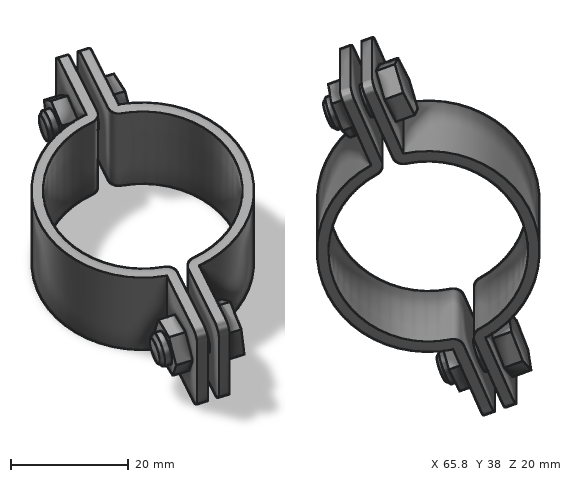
import cadquery as cq

length = 65.85
width = 20.0
ring_radius = 19.0
thickness = 2.0
gap = 2.0
bend_radius = 2.0
corner_radius = 2.0

bolt_offset = 25.9
shank_diameter = 6.0
tip_chamfer = 0.7
tip_projection = 5.0
head_height = 3.4
head_diameter = 10.85
head_angle = 15.0
nut_height = 3.0
nut_diameter = 10.1
nut_angle = 48.3

bore_radius = ring_radius - thickness
flange_inner = gap / 2
flange_outer = flange_inner + thickness


def half_band():
    """Half ring with two flanges, on the +Y side of the split."""
    ring = cq.Workplane("XY").circle(ring_radius).extrude(width / 2, both=True)
    flange = (
        cq.Workplane("XY")
        .box(length, thickness, width)
        .edges("|Y")
        .fillet(corner_radius)
        .translate((0, flange_inner + thickness / 2, 0))
    )
    upper_space = (
        cq.Workplane("XY")
        .box(length, ring_radius, width)
        .translate((0, flange_inner + ring_radius / 2, 0))
    )
    bore = cq.Workplane("XY").circle(bore_radius).extrude(width / 2, both=True)
    band = ring.intersect(upper_space).union(flange).cut(bore)

    bend_x = (bore_radius**2 - flange_inner**2) ** 0.5
    for side in (-1, 1):
        bend = cq.selectors.NearestToPointSelector((side * bend_x, flange_inner, 0))
        band = band.edges("|Z").edges(bend).fillet(bend_radius)
    return band


def hexagon(diameter, height, angle, start_y):
    """Hexagonal prism extending from start_y toward -Y."""
    return (
        cq.Workplane("XZ", origin=(0, start_y, 0))
        .transformed(rotate=(0, 0, angle))
        .polygon(6, diameter)
        .extrude(height)
    )


def left_bolt():
    """Bolt and nut tightened against the outer flange faces."""
    head_top = flange_outer + head_height
    head = hexagon(head_diameter, head_height, head_angle, head_top)
    nut = hexagon(nut_diameter, nut_height, nut_angle, -flange_outer)
    shank = (
        cq.Workplane("XZ", origin=(0, flange_outer, 0))
        .circle(shank_diameter / 2)
        .extrude(2 * flange_outer + tip_projection)
        .faces("<Y")
        .chamfer(tip_chamfer)
    )
    return shank.union(head).union(nut).translate((-bolt_offset, 0, 0))


band = half_band()
bolt = left_bolt()
result = band.union(band.mirror("XZ")).union(bolt).union(bolt.mirror("YZ"))